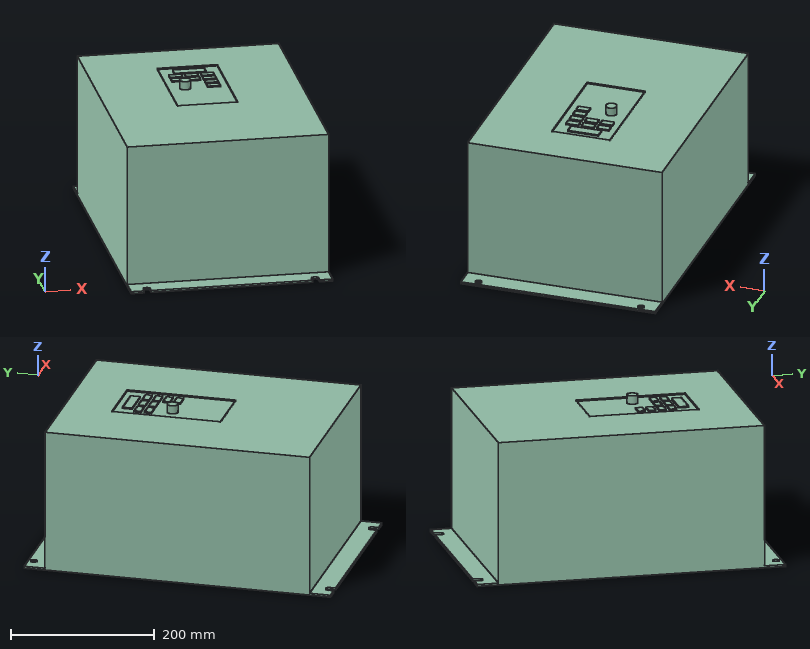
import cadquery as cq

width = 285.0
length = 440.0
height = 216.0

plate_thickness = 3.0
fixing_spacing_x = 238.0
fixing_edge_distance = 8.0
hole_diameter = 9.0
slot_width = 10.0

body_length = 380.0
knob_projection = 10.0
body_top = height - knob_projection

panel_width = 85.0
panel_length = 156.0
panel_depth = 2.0
panel_center_y = 42.0
panel_floor = body_top - panel_depth

control_height = 1.75
display_width = 45.0
display_length = 14.0
display_center_y = 103.0
button_width = 18.0
button_length = 10.0
button_pitch_x = 22.5
button_pitch_y = 15.0
first_button_row_y = 86.0
full_button_rows = 2
button_rows = 4
knob_diameter = 15.5
knob_x = -18.0
knob_y = 39.0


def raised_block(block_width, block_length, x, y, bottom, block_height):
    """Rectangular block centred on (x, y), rising from the given level."""
    return (
        cq.Workplane("XY", origin=(x, y, bottom))
        .rect(block_width, block_length)
        .extrude(block_height)
    )


def mounting_plate():
    plate = raised_block(width, length, 0, 0, 0, plate_thickness)
    fixing_y = length / 2 - fixing_edge_distance
    for x in (-fixing_spacing_x / 2, fixing_spacing_x / 2):
        hole = (
            cq.Workplane("XY")
            .center(x, fixing_y)
            .circle(hole_diameter / 2)
            .extrude(plate_thickness)
        )
        slot_end = (
            cq.Workplane("XY")
            .center(x, -fixing_y)
            .circle(slot_width / 2)
            .extrude(plate_thickness)
        )
        slot_mouth_y = -(length - fixing_edge_distance) / 2
        slot_mouth = raised_block(
            slot_width, fixing_edge_distance, x, slot_mouth_y, 0, plate_thickness
        )
        plate = plate.cut(hole).cut(slot_end).cut(slot_mouth)
    return plate


def enclosure():
    box = raised_block(width, body_length, 0, 0, 0, body_top)
    recess = raised_block(
        panel_width, panel_length, 0, panel_center_y, panel_floor, panel_depth
    )
    return box.cut(recess)


def button_centers():
    """Full rows of three buttons, then single buttons in the right column."""
    centers = []
    for row in range(button_rows):
        columns = (-1, 0, 1) if row < full_button_rows else (1,)
        for column in columns:
            centers.append((column * button_pitch_x, first_button_row_y - row * button_pitch_y))
    return centers


def knob():
    return (
        cq.Workplane("XY", origin=(knob_x, knob_y, panel_floor))
        .circle(knob_diameter / 2)
        .extrude(height - panel_floor)
    )


result = mounting_plate().union(enclosure()).union(knob())
result = result.union(
    raised_block(display_width, display_length, 0, display_center_y, panel_floor, control_height)
)
for button_x, button_y in button_centers():
    result = result.union(
        raised_block(button_width, button_length, button_x, button_y, panel_floor, control_height)
    )